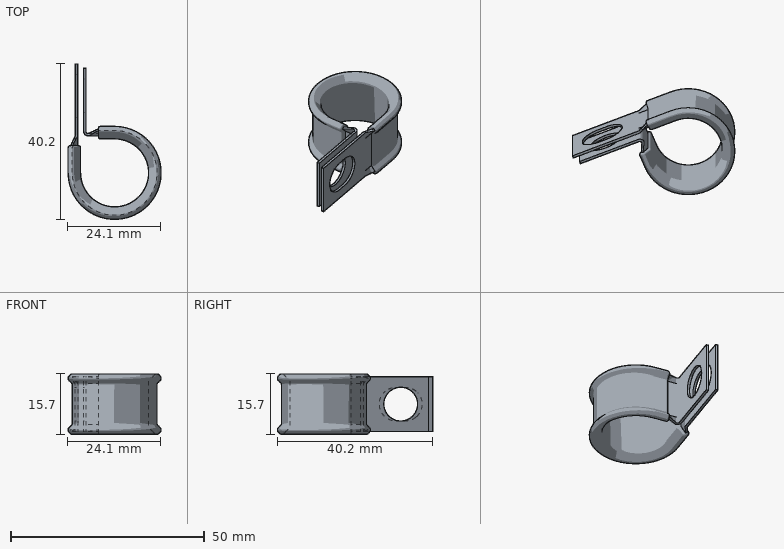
import cadquery as cq
import math


INNER_RADIUS = 8.75
WALL = 2.2
BAND_RADIUS = INNER_RADIUS + WALL
RIM_RADIUS = 12.04
CUSHION_HEIGHT = 15.65
RIM_CORNER = 0.77
OUTER_BEND = 0.6
INNER_BEND = 1.0
RIM_WIDEST_HEIGHT = 6.65
RIM_TOP_RADIUS = 10.9

LOOP_ANGLE = 270
LONG_ARM = 7.02
SHORT_ARM = 4.21
END_FILLET = 0.55

STRAP = 0.67
STRAP_WIDTH = 14.16
STRAP_INNER = INNER_RADIUS + (WALL - STRAP) / 2
STRAP_OUTER = STRAP_INNER + STRAP
FLAT_WIDTH = 10.54
TRANSITION = 2.58
WING_TIP_RADIUS = 11.38
WING_TIP_HEIGHT = 6.65
EMBED = 1.0

LONG_LUG_TOP = 28.16
SHORT_LUG_TOP = 27.05
SHORT_LUG_X = -8.04
LUG_BEND = 0.55
HOLE_Y = 19.84
HOLE_DIAMETER = 8.66
SLOT_LENGTH = 11.08

LOOP_AXIS = ((0, 0, 0), (0, 0, 1))
DIAGONAL = math.sqrt(0.5)
HALF_FLARE = math.pi / 8


def box(x_min, x_max, y_min, y_max, height):
    """Block centred on Z = 0."""
    size_x = x_max - x_min
    size_y = y_max - y_min
    block = cq.Workplane("XY").box(size_x, size_y, height)
    return block.translate(((x_min + x_max) / 2, (y_min + y_max) / 2, 0))


def cushion_section():
    """Closed section in the XZ plane: an upright wall with rims flared outward at 45 degrees."""
    reach = RIM_CORNER * DIAGONAL
    low_centre = (RIM_RADIUS - RIM_CORNER, RIM_WIDEST_HEIGHT)
    top_centre = (RIM_TOP_RADIUS, CUSHION_HEIGHT / 2 - RIM_CORNER)
    flare_end = (low_centre[0] + reach, low_centre[1] - reach)
    tip_low = (low_centre[0] + reach, low_centre[1] + reach)
    tip_high = (top_centre[0] + reach, top_centre[1] + reach)
    slope_end = (top_centre[0] - reach, top_centre[1] + reach)

    outer_knee = flare_end[1] - (flare_end[0] - BAND_RADIUS)
    inner_knee = slope_end[1] - (slope_end[0] - INNER_RADIUS)

    def bend(radius, knee, sharp_radius):
        """Start, middle and end of the arc that rounds a 45 degree knee."""
        tangent = radius * math.tan(HALF_FLARE)
        start = (sharp_radius, knee - tangent)
        centre_x = sharp_radius + radius
        middle = (
            centre_x - radius * math.cos(HALF_FLARE),
            start[1] + radius * math.sin(HALF_FLARE),
        )
        end = (centre_x - radius * DIAGONAL, start[1] + radius * DIAGONAL)
        return start, middle, end

    def flip(point):
        return (point[0], -point[1])

    outer_start, outer_middle, outer_end = bend(OUTER_BEND, outer_knee, BAND_RADIUS)
    inner_start, inner_middle, inner_end = bend(INNER_BEND, inner_knee, INNER_RADIUS)
    rim_side = (RIM_RADIUS, RIM_WIDEST_HEIGHT)
    rim_top = (RIM_TOP_RADIUS, CUSHION_HEIGHT / 2)

    return (
        cq.Workplane("XZ")
        .moveTo(*flip(outer_start))
        .lineTo(*outer_start)
        .threePointArc(outer_middle, outer_end)
        .lineTo(*flare_end)
        .threePointArc(rim_side, tip_low)
        .lineTo(*tip_high)
        .threePointArc(rim_top, slope_end)
        .lineTo(*inner_end)
        .threePointArc(inner_middle, inner_start)
        .lineTo(*flip(inner_start))
        .threePointArc(flip(inner_middle), flip(inner_end))
        .lineTo(*flip(slope_end))
        .threePointArc(flip(rim_top), flip(tip_high))
        .lineTo(*flip(tip_low))
        .threePointArc(flip(rim_side), flip(flare_end))
        .lineTo(*flip(outer_end))
        .threePointArc(flip(outer_middle), flip(outer_start))
        .close()
    )


def cushion_loop():
    """The round part of the cushion, open over the (-X, +Y) quarter."""
    loop = cushion_section().revolve(LOOP_ANGLE, (0, 0), (0, 1))
    return loop.rotate(*LOOP_AXIS, 180)


def cushion_arm(length):
    """Straight cushion on the +X side running in +Y, rounded at its free end."""
    return cushion_section().extrude(-length).faces(">Y").edges().fillet(END_FILLET)


def wing(arm_length):
    """Upper strap edge that flattens from the flare of the cushion to the plane of the lug."""
    flat_edge = FLAT_WIDTH / 2
    outer_tip = (WING_TIP_RADIUS, WING_TIP_HEIGHT)
    inner_tip = (outer_tip[0] - STRAP * DIAGONAL, outer_tip[1] + STRAP * DIAGONAL)
    flared = [(STRAP_INNER, flat_edge), (STRAP_OUTER, flat_edge), outer_tip, inner_tip]
    straight = [
        (STRAP_INNER, flat_edge),
        (STRAP_OUTER, flat_edge),
        (STRAP_OUTER, STRAP_WIDTH / 2),
        (STRAP_INNER, STRAP_WIDTH / 2),
    ]
    start = cq.Workplane("XZ", origin=(0, arm_length, 0)).polyline(flared).close()
    twisted = start.workplane(offset=-TRANSITION).polyline(straight).close().loft(ruled=True)
    buried = cq.Workplane("XZ", origin=(0, arm_length, 0)).polyline(flared).close().extrude(EMBED)
    return buried.union(twisted)


def strap_transition(arm_length):
    """Strap leaving a cushion arm that lies on the +X side and runs in +Y."""
    flat = box(STRAP_INNER, STRAP_OUTER, arm_length - EMBED, arm_length + TRANSITION, FLAT_WIDTH)
    upper = wing(arm_length)
    return flat.union(upper).union(upper.mirror("XY"))


def arm_with_strap(length):
    """Cushion arm on the +X side running in +Y, with the strap coming out of its end."""
    return cushion_arm(length).union(strap_transition(length))


def long_lug():
    """Flat lug continuing the long arm, with a slot along Y."""
    plate = box(-STRAP_OUTER, -STRAP_INNER, LONG_ARM + TRANSITION, LONG_LUG_TOP, STRAP_WIDTH)
    slot = (
        cq.Workplane("YZ", origin=(-STRAP_OUTER, HOLE_Y, 0))
        .slot2D(SLOT_LENGTH, HOLE_DIAMETER)
        .extrude(STRAP)
    )
    return plate.cut(slot)


def short_lug():
    """Lug bent up from the short arm, with a round hole."""
    foot_x = -SHORT_ARM - TRANSITION
    inside_x = SHORT_LUG_X + STRAP
    bend_x = inside_x + LUG_BEND
    bend_y = STRAP_OUTER + LUG_BEND
    outside_bend = LUG_BEND + STRAP
    plate = (
        cq.Workplane("XY")
        .moveTo(foot_x, STRAP_INNER)
        .lineTo(bend_x, STRAP_INNER)
        .radiusArc((SHORT_LUG_X, bend_y), outside_bend)
        .lineTo(SHORT_LUG_X, SHORT_LUG_TOP)
        .lineTo(inside_x, SHORT_LUG_TOP)
        .lineTo(inside_x, bend_y)
        .radiusArc((bend_x, STRAP_OUTER), -LUG_BEND)
        .lineTo(foot_x, STRAP_OUTER)
        .close()
        .extrude(STRAP_WIDTH / 2, both=True)
    )
    hole = (
        cq.Workplane("YZ", origin=(SHORT_LUG_X, HOLE_Y, 0))
        .circle(HOLE_DIAMETER / 2)
        .extrude(STRAP)
    )
    return plate.cut(hole)


long_arm = arm_with_strap(LONG_ARM).mirror("YZ")
short_arm = arm_with_strap(SHORT_ARM).rotate(*LOOP_AXIS, 90)
result = cushion_loop().union(long_arm).union(short_arm).union(long_lug()).union(short_lug())